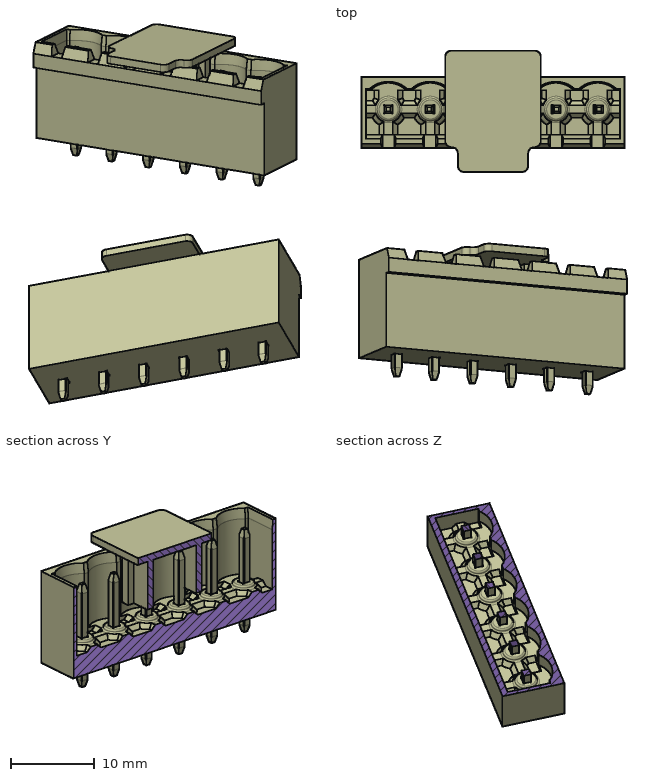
import cadquery as cq
import math


contact_count = 6
well_span = 25.0
well_pitch = well_span / (contact_count - 1)
second_pin_x = -7.6
last_pin_x = 12.65
pin_pitch = (last_pin_x - second_pin_x) / (contact_count - 2)
well_centres = [well_pitch * (i - (contact_count - 1) / 2) for i in range(contact_count)]
pin_centres = [well_centres[0]] + [second_pin_x + pin_pitch * i for i in range(contact_count - 1)]

length = 31.4
height = 12.0
back_y = 3.85
front_y = -3.9
lip_y = -4.65
lip_top_y = -4.1
lip_bottom_z = 8.98
lead_in_z = 10.7
lead_in_height = height - lead_in_z

cavity_half_length = 15.1
cavity_back_y = 2.25
cavity_front_y = -3.05
end_lead_in = 0.1
back_lead_in = 0.2
front_lead_in = 0.47
scallop_radius = 3.15
scallop_rim_radius = 3.3

web_z = 3.45
web_rise = 0.55
floor_z = web_z - web_rise
ridge_half_width = 0.47
back_strip_half_width = 1.13
front_strip_half_width = 0.53
boss_top_radius = 1.13
boss_fillet = 0.225
boss_base_radius = boss_top_radius + 2 * boss_fillet

notch_bottom_width = 1.38
notch_top_width = 1.82

pin_width = 1.0
pin_corner = 0.1
pin_tip_width = 0.5
pin_tip_length = 1.0
pin_bottom_z = -2.65
pin_top_z = 10.77

cap_thickness = 0.95
cap_half_width = 5.7
cap_back_y = 7.0
cap_shoulder_y = -4.52
cap_tab_y = -7.5
cap_corner = 0.75
cap_tab_half_width = cap_half_width - 2 * cap_corner
leg_thickness = 0.9
leg_length = 6.28
leg_back_y = 1.4
leg_flange_depth = 1.07
leg_front_y = -2.2


def box(x_min, x_max, y_min, y_max, z_min, z_max):
    size = (x_max - x_min, y_max - y_min, z_max - z_min)
    return cq.Workplane("XY").box(*size, centered=False).translate((x_min, y_min, z_min))


def build_shell():
    """Outer block with the latching lip along the front."""
    side_outline = [
        (back_y, 0),
        (front_y, 0),
        (front_y, lip_bottom_z),
        (lip_y, lip_bottom_z),
        (lip_y, lead_in_z),
        (lip_top_y, height),
        (back_y, height),
    ]
    return cq.Workplane("YZ").polyline(side_outline).close().extrude(length / 2, both=True)


def build_cavity():
    """Rectangular cavity with a flared rim."""
    straight = box(
        -cavity_half_length, cavity_half_length, cavity_front_y, cavity_back_y, floor_z, height
    )
    rim_front_y = cavity_front_y - front_lead_in
    rim_back_y = cavity_back_y + back_lead_in
    lower_mid_y = (cavity_front_y + cavity_back_y) / 2
    rim_mid_y = (rim_front_y + rim_back_y) / 2
    flare = (
        cq.Workplane("XY", origin=(0, 0, lead_in_z))
        .center(0, lower_mid_y)
        .rect(2 * cavity_half_length, cavity_back_y - cavity_front_y)
        .workplane(offset=lead_in_height)
        .center(0, rim_mid_y - lower_mid_y)
        .rect(2 * (cavity_half_length + end_lead_in), rim_back_y - rim_front_y)
        .loft(ruled=True)
    )
    return straight.union(flare)


def build_scallop(x):
    """Round recess behind one contact, flared at the rim."""
    scallop = (
        cq.Workplane("XZ")
        .polyline([
            (0, web_z),
            (scallop_radius, web_z),
            (scallop_radius, lead_in_z),
            (scallop_rim_radius, height),
            (0, height),
        ])
        .close()
        .revolve(360, (0, 0), (0, 1))
    )
    behind = box(-length, length, cavity_back_y, back_y, web_z, height)
    return scallop.intersect(behind).translate((x, 0, 0))


def build_notch(x):
    """Tapered opening through the front rim."""
    return (
        cq.Workplane("XZ", origin=(x, cavity_front_y, 0))
        .polyline([
            (-notch_bottom_width / 2, lead_in_z),
            (notch_bottom_width / 2, lead_in_z),
            (notch_top_width / 2, height),
            (-notch_top_width / 2, height),
        ])
        .close()
        .extrude(cavity_front_y - lip_y)
    )


def flank_outline(half_width):
    """Trapezoid section of the web, with 45 degree flanks."""
    return [
        (-half_width - web_rise, floor_z),
        (half_width + web_rise, floor_z),
        (half_width, web_z),
        (-half_width, web_z),
    ]


def build_web():
    """Ridge, cross strips and pin bosses that stand on the cavity floor."""
    ridge = (
        cq.Workplane("YZ")
        .polyline(flank_outline(ridge_half_width))
        .close()
        .extrude(cavity_half_length, both=True)
    )
    back_strip = (
        cq.Workplane("XZ")
        .polyline(flank_outline(back_strip_half_width))
        .close()
        .extrude(-cavity_back_y)
    )
    front_strip = (
        cq.Workplane("XZ")
        .polyline(flank_outline(front_strip_half_width))
        .close()
        .extrude(-cavity_front_y)
    )
    arc = math.sqrt(0.5) * boss_fillet
    middle_radius = boss_top_radius + boss_fillet
    middle_z = web_z + boss_fillet
    boss_top_z = web_z + 2 * boss_fillet
    boss = (
        cq.Workplane("XZ")
        .moveTo(0, floor_z)
        .lineTo(boss_base_radius + web_rise, floor_z)
        .lineTo(boss_base_radius, web_z)
        .threePointArc((boss_base_radius - arc, middle_z - arc), (middle_radius, middle_z))
        .threePointArc((boss_top_radius + arc, middle_z + arc), (boss_top_radius, boss_top_z))
        .lineTo(0, boss_top_z)
        .close()
        .revolve(360, (0, 0), (0, 1))
    )
    web = ridge
    for x in well_centres:
        for feature in (back_strip, front_strip, boss):
            web = web.union(feature.translate((x, 0, 0)))
    return web


def build_pin(x):
    """Square contact pin with bevelled corners and a tapered tip at each end."""
    half_width = pin_width / 2
    half_tip = pin_tip_width / 2
    taper_outline = [
        (-half_tip, pin_bottom_z),
        (half_tip, pin_bottom_z),
        (half_width, pin_bottom_z + pin_tip_length),
        (half_width, pin_top_z - pin_tip_length),
        (half_tip, pin_top_z),
        (-half_tip, pin_top_z),
        (-half_width, pin_top_z - pin_tip_length),
        (-half_width, pin_bottom_z + pin_tip_length),
    ]
    taper_x = cq.Workplane("XZ").polyline(taper_outline).close().extrude(half_width, both=True)
    taper_y = cq.Workplane("YZ").polyline(taper_outline).close().extrude(half_width, both=True)
    bar = box(-half_width, half_width, -half_width, half_width, pin_bottom_z, pin_top_z)
    bar = bar.edges("|Z").chamfer(pin_corner)
    return bar.intersect(taper_x).intersect(taper_y).translate((x, 0, 0))


def build_housing(pins):
    """Shell with the cavity, the floor web and a through hole for every pin."""
    housing = build_shell().cut(build_cavity()).union(build_web())
    half_hole = pin_width / 2
    for x, pin in zip(well_centres, pins):
        housing = housing.cut(build_scallop(x)).cut(build_notch(x))
        hole = box(x - half_hole, x + half_hole, -half_hole, half_hole, 0, height)
        housing = housing.cut(hole).cut(pin)
    return housing


def build_cap():
    """Flat pick-up plate with a tab in front and two legs that reach into the cavity."""
    cap = (
        cq.Workplane("XY", origin=(0, 0, height))
        .moveTo(0, cap_back_y)
        .lineTo(cap_half_width - cap_corner, cap_back_y)
        .radiusArc((cap_half_width, cap_back_y - cap_corner), cap_corner)
        .lineTo(cap_half_width, cap_shoulder_y + cap_corner)
        .radiusArc((cap_half_width - cap_corner, cap_shoulder_y), cap_corner)
        .radiusArc((cap_tab_half_width, cap_shoulder_y - cap_corner), -cap_corner)
        .lineTo(cap_tab_half_width, cap_tab_y + cap_corner)
        .radiusArc((cap_tab_half_width - cap_corner, cap_tab_y), cap_corner)
        .lineTo(0, cap_tab_y)
        .mirrorY()
        .extrude(cap_thickness)
    )

    leg_bottom_z = height - leg_length
    wall_x = -cap_tab_half_width
    wall = box(wall_x, wall_x + leg_thickness, leg_front_y, leg_back_y, leg_bottom_z, height)
    flange = box(
        wall_x - leg_thickness, wall_x, leg_back_y - leg_flange_depth, leg_back_y, leg_bottom_z, height
    )
    leg = wall.union(flange)
    return cap.union(leg).union(leg.mirror("YZ"))


pins = [build_pin(x) for x in pin_centres]
housing = build_housing(pins)
cap = build_cap()

result = cq.Compound.makeCompound(
    [housing.solids().val(), *[pin.solids().val() for pin in pins], cap.solids().val()]
)